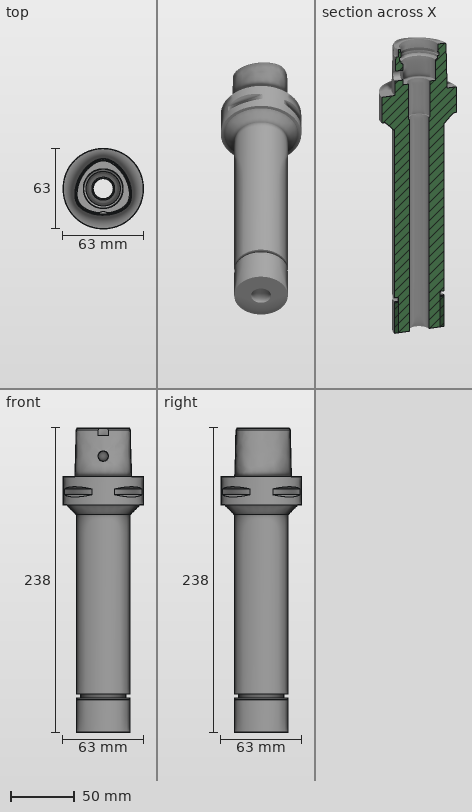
import cadquery as cq
import math


shank_height = 38.0
shank_width = 44.4
shank_taper = 1 / 20
lobe_height = 1.4
outline_points = 72
rim_chamfer_height = 1.5
rim_chamfer_inset = 0.8

slot_radius = 5.5
slot_height = 6.0
slot_floor_distance = 17.9
pin_hole_diameter = 8.0
pin_hole_height = 16.0
pin_hole_floor_distance = 14.5

mouth_diameter = 31.2
land_diameter = 30.6
undercut_diameter = 33.0
undercut_top_depth = 7.0
undercut_bottom_depth = 9.6
seat_depth = 11.4
socket_diameter = 27.0
socket_depth = 30.0
passage_diameter = 18.0
passage_depth = 60.0
through_diameter = 15.7

flange_diameter = 63.0
flange_height = 22.0
pocket_count = 4
pocket_first_angle = 45.0
pocket_floor_distance = 27.7
pocket_floor_height = 4.5
pocket_wall_angle = 25.0
pocket_depth_below_face = 11.9

overall_length = 238.0
body_diameter = 42.0
cone_top_diameter = 57.5
neck_diameter = 35.4
gap_height = 2.8

nut_and_ring_height = 27.0
ring_height = 1.5
nut_diameter = 42.0
nut_chamfer_height = 0.5
nut_chamfer_inset = 0.1

nut_bottom = shank_height - overall_length
ring_top = nut_bottom + nut_and_ring_height
nut_top = ring_top - ring_height
neck_top = ring_top + gap_height
ring_diameter = nut_diameter - 2 * nut_chamfer_inset


def revolve(points):
    """Turn a closed (radius, height) outline about the Z axis."""
    return cq.Workplane("XZ").polyline(points).close().revolve(360, (0, 0, 0), (0, 1, 0))


def shank_section(height, inset=0.0):
    """Three-lobed outline of constant width, one lobe toward +Y, at the given height."""
    mean_radius = (shank_width - shank_taper * height) / 2 - inset
    points = []
    for i in range(outline_points):
        t = 2 * math.pi * i / outline_points
        across = mean_radius * math.sin(t) - lobe_height * (2 * math.sin(2 * t) + math.sin(4 * t))
        along = mean_radius * math.cos(t) + lobe_height * (2 * math.cos(2 * t) - math.cos(4 * t))
        points.append(cq.Vector(across, along, height))
    return cq.Wire.assembleEdges([cq.Edge.makeSpline(points, periodic=True)])


def make_shank():
    chamfer_base = shank_height - rim_chamfer_height
    taper = cq.Solid.makeLoft([shank_section(0), shank_section(chamfer_base)], True)
    rim = cq.Solid.makeLoft(
        [shank_section(chamfer_base), shank_section(shank_height, rim_chamfer_inset)], True
    )
    return cq.Workplane(taper).union(cq.Workplane(rim))


def make_shank_bore():
    top = shank_height
    mouth = mouth_diameter / 2
    land = land_diameter / 2
    undercut = undercut_diameter / 2
    socket = socket_diameter / 2
    passage = passage_diameter / 2
    through = through_diameter / 2
    return revolve([
        (0, top),
        (mouth, top),
        (land, top - undercut_top_depth),
        (undercut, top - undercut_top_depth),
        (undercut, top - undercut_bottom_depth),
        (land, top - undercut_bottom_depth),
        (land, top - seat_depth),
        (socket, top - seat_depth - (land - socket)),
        (socket, top - socket_depth),
        (passage, top - socket_depth),
        (passage, top - passage_depth),
        (through, top - passage_depth),
        (through, nut_bottom),
        (0, nut_bottom),
    ])


def make_locating_slot():
    """Scoop left by an upright cylinder that breaks through the shank's side."""
    return (
        cq.Workplane("XY", origin=(0, -slot_floor_distance - slot_radius, shank_height))
        .circle(slot_radius)
        .extrude(-slot_height)
    )


def make_pin_hole():
    return (
        cq.Workplane("XZ", origin=(0, -pin_hole_floor_distance, pin_hole_height))
        .circle(pin_hole_diameter / 2)
        .extrude(shank_width)
    )


def make_flange_and_body():
    cone_height = (cone_top_diameter - body_diameter) / 2
    return revolve([
        (0, 0),
        (flange_diameter / 2, 0),
        (flange_diameter / 2, -flange_height),
        (cone_top_diameter / 2, -flange_height),
        (body_diameter / 2, -flange_height - cone_height),
        (body_diameter / 2, neck_top),
        (neck_diameter / 2, neck_top),
        (neck_diameter / 2, nut_bottom),
        (0, nut_bottom),
    ])


def make_gripper_pocket(angle):
    """Flat-floored pocket cut straight across the flange rim, widening outward."""
    outer = flange_diameter
    half_floor = pocket_floor_height / 2
    flare = (outer - pocket_floor_distance) * math.tan(math.radians(pocket_wall_angle))
    return (
        cq.Workplane("XZ")
        .polyline([
            (pocket_floor_distance, -half_floor),
            (pocket_floor_distance, half_floor),
            (outer, half_floor + flare),
            (outer, -half_floor - flare),
        ])
        .close()
        .extrude(outer, both=True)
        .translate((0, 0, -pocket_depth_below_face))
        .rotate((0, 0, 0), (0, 0, 1), angle)
    )


def make_holder():
    holder = make_flange_and_body().union(make_shank())
    holder = holder.cut(make_shank_bore()).cut(make_locating_slot()).cut(make_pin_hole())
    for i in range(pocket_count):
        holder = holder.cut(make_gripper_pocket(pocket_first_angle + i * 360 / pocket_count))
    return holder


def make_ring():
    return revolve([
        (neck_diameter / 2, nut_top),
        (ring_diameter / 2, nut_top),
        (ring_diameter / 2, ring_top),
        (neck_diameter / 2, ring_top),
    ])


def make_nut():
    return revolve([
        (neck_diameter / 2, nut_bottom),
        (nut_diameter / 2, nut_bottom),
        (nut_diameter / 2, nut_top - nut_chamfer_height),
        (ring_diameter / 2, nut_top),
        (neck_diameter / 2, nut_top),
    ])


holder = make_holder()
ring = make_ring()
nut = make_nut()

result = cq.Compound.makeCompound([holder.val(), ring.val(), nut.val()])